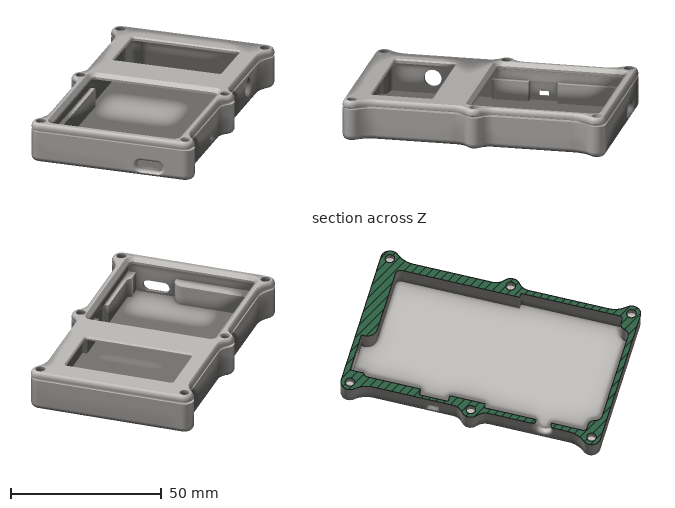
import cadquery as cq
import math

LENGTH = 89.2
HOUSING_HEIGHT = 11.0
LID_GAP = 0.8
LID_THICKNESS = 2.05
LID_BOTTOM = HOUSING_HEIGHT + LID_GAP
LID_TOP = LID_BOTTOM + LID_THICKNESS

EAR_RADIUS = 3.1
SIDE_X = 25.2
END_Y = LENGTH / 2
SCREW_Y = END_Y - EAR_RADIUS
CORNER_SIDE_START = 11.1
MIDDLE_SIDE_START = 6.2
BOTTOM_FILLET = 1.8

LID_ROUND = 2.0
LID_ROUND_CUT = 0.4
SCREW_DIAMETER = 3.4
PILOT_DIAMETER = 3.0
PILOT_DEPTH = 5.35
DISPLAY_LEFT, DISPLAY_RIGHT = -19.2, 18.3
DISPLAY_BOTTOM, DISPLAY_TOP = 15.7, 36.1
DISPLAY_CORNER = 0.5
DISPLAY_CHAMFER = 0.45
DISPLAY_RIM = 0.8
DISPLAY_SEAT_MARGIN = 1.8
KEYS_HALF_WIDTH = 22.0
KEYS_BOTTOM, KEYS_TOP = -41.0, 2.4
KEYS_CORNER = 1.5
KEYS_CHAMFER = 1.25

WALL = 2.0
FLOOR = 1.0
CAVITY_X = SIDE_X - WALL
CAVITY_Y = END_Y - WALL

LEDGE_TOP = 7.8
BOARD_HALF_WIDTH = 21.7
BOARD_BOTTOM, BOARD_TOP = -38.1, 5.0
LEDGE_END = 4.1
BOARD_CORNER = 1.7
SIDE_GAP_BOTTOM, SIDE_GAP_TOP = -18.0, -8.2
SIDE_GAP_X = 24.0

PORT_X, PORT_Z = 13.5, 3.6
PORT_WIDTH, PORT_HEIGHT = 9.3, 3.8
OPENING_FILLET = 1.0
PORT_BAY_WIDTH = 14.1
PORT_BAY_ROUND = 3.6

JACK_DIAMETER = 5.9
JACK_Y, JACK_Z = 24.6, 6.2
SLOT_LENGTH, SLOT_HEIGHT = 3.4, 1.7
SLOT_CHAMFER = 0.45
SLOT_Y, SLOT_Z = -13.0, 3.4

BOSS_RADIUS = 2.5
BOSS_TIP_X = 21.0
BOSS_END_FILLET = 2.4
BOSS_SIDE_FILLET = 1.0


def arc_point(center, radius, degrees):
    angle = math.radians(degrees)
    return center[0] + radius * math.cos(angle), center[1] + radius * math.sin(angle)


def box(x0, x1, y0, y1, z0, z1):
    return cq.Workplane("XY").box(x1 - x0, y1 - y0, z1 - z0, centered=False).translate((x0, y0, z0))


def both_sides(solid):
    """The solid joined with its mirror image across the middle of the width."""
    return solid.union(solid.mirror("YZ"))


def ear_blend(side_start):
    """Radius and sweep, in degrees, of the hollow arc that runs from an ear to the straight side."""
    radius = (side_start**2 - EAR_RADIUS**2) / (2 * EAR_RADIUS)
    return radius, math.degrees(math.atan2(side_start, radius))


def case_block(bottom, height):
    """Solid block with the outline that housing and lid share."""
    corner_side_y = END_Y - CORNER_SIDE_START
    corner_radius, corner_sweep = ear_blend(SCREW_Y - corner_side_y)
    middle_radius, middle_sweep = ear_blend(MIDDLE_SIDE_START)
    corner_hollow = (SIDE_X + corner_radius, corner_side_y)
    middle_hollow = (SIDE_X + middle_radius, MIDDLE_SIDE_START)
    corner_ear = (SIDE_X, SCREW_Y)
    middle_ear = (SIDE_X, 0)
    quarter = (
        cq.Workplane("XY", origin=(0, 0, bottom))
        .lineTo(SIDE_X + EAR_RADIUS, 0)
        .threePointArc(
            arc_point(middle_ear, EAR_RADIUS, middle_sweep / 2),
            arc_point(middle_ear, EAR_RADIUS, middle_sweep),
        )
        .threePointArc(
            arc_point(middle_hollow, middle_radius, 180 + middle_sweep / 2),
            (SIDE_X, MIDDLE_SIDE_START),
        )
        .lineTo(SIDE_X, corner_side_y)
        .threePointArc(
            arc_point(corner_hollow, corner_radius, 180 - corner_sweep / 2),
            arc_point(corner_hollow, corner_radius, 180 - corner_sweep),
        )
        .threePointArc(arc_point(corner_ear, EAR_RADIUS, 30), (SIDE_X, END_Y))
        .lineTo(0, END_Y)
        .close()
        .extrude(height)
    )
    half = both_sides(quarter)
    return half.union(half.mirror("XZ")).clean()


def screw_holes(diameter, bottom, top):
    points = [(x, y) for x in (-SIDE_X, SIDE_X) for y in (-SCREW_Y, 0, SCREW_Y)]
    holes = cq.Workplane("XY", origin=(0, 0, bottom)).pushPoints(points)
    return holes.circle(diameter / 2).extrude(top - bottom)


def lid_window(left, right, bottom, top, corner, chamfer):
    """Opening with rounded corners and a chamfer at the top face."""
    shape = cq.Sketch().rect(right - left, top - bottom).vertices().fillet(corner)
    center_x, center_y = (left + right) / 2, (bottom + top) / 2
    opening = cq.Workplane("XY", origin=(center_x, center_y, LID_BOTTOM)).placeSketch(shape)
    flare = cq.Workplane("XY", origin=(center_x, center_y, LID_TOP - chamfer)).placeSketch(shape)
    return opening.extrude(LID_THICKNESS).union(flare.extrude(chamfer, taper=-45))


def make_lid():
    lid = case_block(LID_BOTTOM, LID_THICKNESS + LID_ROUND_CUT)
    lid = lid.faces(">Z").edges().fillet(LID_ROUND)
    lid = lid.intersect(box(-LENGTH, LENGTH, -LENGTH, LENGTH, LID_BOTTOM, LID_TOP))
    display = lid_window(
        DISPLAY_LEFT, DISPLAY_RIGHT, DISPLAY_BOTTOM, DISPLAY_TOP, DISPLAY_CORNER, DISPLAY_CHAMFER
    )
    seat = box(
        DISPLAY_LEFT - DISPLAY_SEAT_MARGIN, DISPLAY_RIGHT + DISPLAY_SEAT_MARGIN,
        DISPLAY_BOTTOM - DISPLAY_SEAT_MARGIN, DISPLAY_TOP + DISPLAY_SEAT_MARGIN,
        LID_BOTTOM, LID_TOP - DISPLAY_RIM,
    )
    keys = lid_window(
        -KEYS_HALF_WIDTH, KEYS_HALF_WIDTH, KEYS_BOTTOM, KEYS_TOP, KEYS_CORNER, KEYS_CHAMFER
    )
    return lid.cut(display).cut(seat).cut(keys).cut(screw_holes(SCREW_DIAMETER, LID_BOTTOM, LID_TOP))


def board_ledge():
    """Low ledge that frames the lower board on three sides and starts to turn in at its upper end."""
    ledge = box(-CAVITY_X, CAVITY_X, -CAVITY_Y, LEDGE_END, FLOOR, LEDGE_TOP)
    board = box(-BOARD_HALF_WIDTH, BOARD_HALF_WIDTH, BOARD_BOTTOM, BOARD_TOP, FLOOR, LEDGE_TOP)
    ledge = ledge.cut(board.edges("|Z").fillet(BOARD_CORNER))
    return ledge.cut(port_bay())


def port_bay():
    """Break in the ledge behind the charging port, rounded off on its left."""
    left, right = PORT_X - PORT_BAY_WIDTH / 2, PORT_X + PORT_BAY_WIDTH / 2
    round_center = (left - PORT_BAY_ROUND, BOARD_BOTTOM - PORT_BAY_ROUND)
    return (
        cq.Workplane("XY", origin=(0, 0, FLOOR))
        .moveTo(left, -CAVITY_Y)
        .lineTo(left, round_center[1])
        .threePointArc(arc_point(round_center, PORT_BAY_ROUND, 45), (round_center[0], BOARD_BOTTOM))
        .lineTo(right, BOARD_BOTTOM)
        .lineTo(right, -CAVITY_Y)
        .close()
        .extrude(LEDGE_TOP - FLOOR)
    )


def corner_boss():
    """Boss in the upper +X corner, running in from the screw to a round tip."""
    tip = (BOSS_TIP_X, SCREW_Y)
    hollow_y = CAVITY_Y - BOSS_END_FILLET
    center_distance = BOSS_RADIUS + BOSS_END_FILLET
    lean = math.degrees(math.asin((SCREW_Y - hollow_y) / center_distance))
    hollow = arc_point(tip, center_distance, 180 + lean)
    boss_y = SCREW_Y - BOSS_RADIUS
    side_hollow = (CAVITY_X - BOSS_SIDE_FILLET, boss_y - BOSS_SIDE_FILLET)
    return (
        cq.Workplane("XY", origin=(0, 0, FLOOR))
        .moveTo(hollow[0], CAVITY_Y)
        .threePointArc(
            arc_point(hollow, BOSS_END_FILLET, (90 + lean) / 2),
            arc_point(hollow, BOSS_END_FILLET, lean),
        )
        .threePointArc(arc_point(tip, BOSS_RADIUS, 225 + lean / 2), (BOSS_TIP_X, boss_y))
        .lineTo(side_hollow[0], boss_y)
        .threePointArc(arc_point(side_hollow, BOSS_SIDE_FILLET, 45), (CAVITY_X, side_hollow[1]))
        .lineTo(CAVITY_X, CAVITY_Y)
        .close()
        .extrude(HOUSING_HEIGHT - FLOOR)
    )


def rounded_cutter(slab, opening, outer_face):
    """The part of a wall slab that an opening with a rounded outer rim takes away."""
    pierced = slab.cut(opening)
    rim = pierced.faces(outer_face).wires(cq.selectors.LengthNthSelector(0))
    return slab.cut(rim.edges().fillet(OPENING_FILLET))


def charging_port():
    face = cq.Workplane("XZ", origin=(PORT_X, -END_Y, PORT_Z))
    slab = face.rect(2 * PORT_WIDTH, 2 * PORT_WIDTH).extrude(-WALL)
    return rounded_cutter(slab, face.slot2D(PORT_WIDTH, PORT_HEIGHT).extrude(-WALL), "<Y")


def jack_hole():
    face = cq.Workplane("YZ", origin=(SIDE_X, JACK_Y, JACK_Z))
    slab = face.rect(2 * JACK_DIAMETER, 2 * JACK_DIAMETER).extrude(-WALL)
    return rounded_cutter(slab, face.circle(JACK_DIAMETER / 2).extrude(-WALL), ">X")


def side_gap():
    """Gap in the ledge that bites into the +X wall, with a slot from it to the outside."""
    gap = box(0, SIDE_GAP_X, SIDE_GAP_BOTTOM, SIDE_GAP_TOP, FLOOR, LEDGE_TOP)
    face = cq.Workplane("YZ", origin=(SIDE_X, SLOT_Y, SLOT_Z))
    slot = face.rect(SLOT_LENGTH, SLOT_HEIGHT).extrude(SIDE_GAP_X - SIDE_X)
    mouth = face.rect(SLOT_LENGTH + 2 * SLOT_CHAMFER, SLOT_HEIGHT + 2 * SLOT_CHAMFER)
    mouth = mouth.extrude(-SLOT_CHAMFER, taper=45)
    return gap.union(slot).union(mouth)


def make_housing():
    housing = case_block(0, HOUSING_HEIGHT).faces("<Z").edges().fillet(BOTTOM_FILLET)
    housing = housing.cut(box(-CAVITY_X, CAVITY_X, -CAVITY_Y, CAVITY_Y, FLOOR, HOUSING_HEIGHT))
    housing = housing.union(board_ledge()).union(both_sides(corner_boss()))
    housing = housing.cut(charging_port()).cut(jack_hole()).cut(side_gap())
    return housing.cut(screw_holes(PILOT_DIAMETER, HOUSING_HEIGHT - PILOT_DEPTH, HOUSING_HEIGHT))


lid = make_lid()
housing = make_housing()
result = cq.Compound.makeCompound([housing.val(), lid.val()])